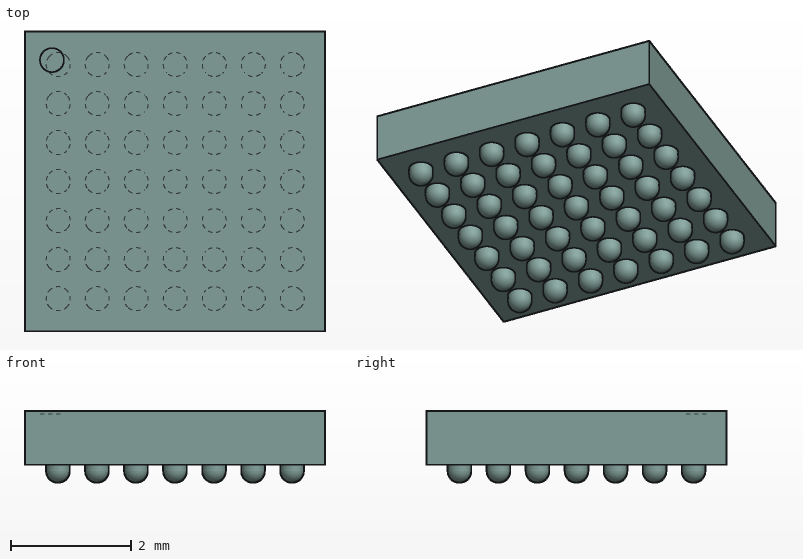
import cadquery as cq
import math


BODY_SIDE = 5.0
BODY_HEIGHT = 0.9

BALL_DIAMETER = 0.4
BALL_RADIUS = BALL_DIAMETER / 2
BALL_NECK = 0.1
BALL_PITCH = 0.65
BALLS_PER_SIDE = 7

MARKER_DIAMETER = 0.4
MARKER_DEPTH = 0.05
MARKER_FROM_LEFT = 0.45
MARKER_FROM_BACK = 0.48


def make_marker():
    """Disc near the -X, +Y corner, level with the top face."""
    return (
        cq.Workplane("XY", origin=(0, 0, BODY_HEIGHT))
        .center(MARKER_FROM_LEFT - BODY_SIDE / 2, BODY_SIDE / 2 - MARKER_FROM_BACK)
        .circle(MARKER_DIAMETER / 2)
        .extrude(-MARKER_DEPTH)
    )


def make_ball(x, y):
    """Round-ended ball hanging from the lower face, revolved about its own axis."""
    equator_z = -BALL_NECK
    arc_offset = BALL_RADIUS * math.cos(math.pi / 4)
    return (
        cq.Workplane("XZ", origin=(x, y, 0))
        .lineTo(-BALL_RADIUS, 0)
        .lineTo(-BALL_RADIUS, equator_z)
        .threePointArc((-arc_offset, equator_z - arc_offset), (0, equator_z - BALL_RADIUS))
        .close()
        .revolve(360, (0, 0), (0, 1))
    )


def make_package(marker):
    """Square body with a recess for the marker and its grid of balls."""
    package = cq.Workplane("XY").box(BODY_SIDE, BODY_SIDE, BODY_HEIGHT, centered=(True, True, False))
    package = package.cut(marker)
    first_ball = -BALL_PITCH * (BALLS_PER_SIDE - 1) / 2
    for column in range(BALLS_PER_SIDE):
        for row in range(BALLS_PER_SIDE):
            ball = make_ball(first_ball + column * BALL_PITCH, first_ball + row * BALL_PITCH)
            package = package.union(ball)
    return package


marker = make_marker()
package = make_package(marker)

result = cq.Compound.makeCompound([package.solids().val(), marker.val()])